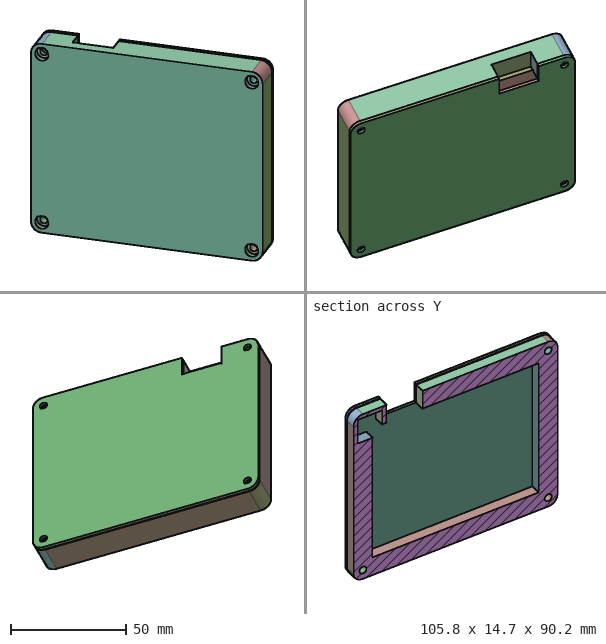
import cadquery as cq

LENGTH = 105.7
HEIGHT = 90.0
TOTAL_DEPTH = 14.7
CORNER_RADIUS = 5.0

COVER_THICKNESS = 1.5
COVER_GAP = 0.2
COVER_LIFT = 0.2
COVER_SHIFT = 0.1
HOUSING_DEPTH = TOTAL_DEPTH - COVER_THICKNESS - COVER_GAP
COVER_FRONT = TOTAL_DEPTH - COVER_THICKNESS

SCREW_DIAMETER = 3.4
HEAD_DIAMETER = 6.0
HEAD_DEPTH = 3.0
SCREW_X = LENGTH / 2 - CORNER_RADIUS
SCREW_Z = HEIGHT / 2 - CORNER_RADIUS
SCREW_POINTS = [(x, z) for x in (-SCREW_X, SCREW_X) for z in (-SCREW_Z, SCREW_Z)]

FRONT_WALL = 5.7
SIDE_WALL = 2 * CORNER_RADIUS
CAVITY_X = LENGTH / 2 - SIDE_WALL
CAVITY_Z = HEIGHT / 2 - SIDE_WALL

NOTCH_WIDTH = 18.5
NOTCH_INSET = 17.3
NOTCH_LEFT = NOTCH_INSET - LENGTH / 2
NOTCH_DEPTH = SIDE_WALL

BOARD_THICKNESS = 2.1
EAR_REACH = 2.6
STEP_OFFSET_X = 0.2
STEP_OFFSET_Z = 0.5
EAR_LEFT = -SCREW_X - EAR_REACH
EAR_TOP = SCREW_Z + EAR_REACH
EAR_OVERLAP = CORNER_RADIUS
EAR_RIGHT = EAR_OVERLAP - CAVITY_X
EAR_BOTTOM = CAVITY_Z - EAR_OVERLAP
EAR_STEP_X = -SCREW_X + STEP_OFFSET_X
EAR_STEP_Z = SCREW_Z + STEP_OFFSET_Z


def block(x_min, x_max, y_min, y_max, z_min, z_max):
    """Box between two opposite corners."""
    size = (x_max - x_min, y_max - y_min, z_max - z_min)
    return cq.Workplane("XY").box(*size, centered=False).translate((x_min, y_min, z_min))


def rounded_plate(depth):
    """Upright plate with rounded corners, from Y = 0 to Y = depth."""
    plate = block(-LENGTH / 2, LENGTH / 2, 0, depth, -HEIGHT / 2, HEIGHT / 2)
    return plate.edges("|Y").fillet(CORNER_RADIUS)


def screw_cylinders(diameter, depth):
    """Cylinders at the four screw places, from Y = 0 to Y = depth."""
    plane = cq.Workplane("XZ").pushPoints(SCREW_POINTS)
    return plane.circle(diameter / 2).extrude(-depth)


def notch(y_min, y_max):
    """Space of the notch, cut down from the top edge."""
    top = HEIGHT / 2
    return block(NOTCH_LEFT, NOTCH_LEFT + NOTCH_WIDTH, y_min, y_max, top - NOTCH_DEPTH, top)


def cavity_space(y_min, y_max):
    """Main cavity and its corner pocket around the top-left screw hole."""
    main = block(-CAVITY_X, CAVITY_X, y_min, y_max, -CAVITY_Z, CAVITY_Z)
    pocket = block(EAR_LEFT, EAR_RIGHT, y_min, y_max, EAR_BOTTOM, EAR_TOP)
    return main.union(pocket)


def make_housing():
    """Rounded front shell with the cavity, the notch and counterbored screw holes."""
    housing = rounded_plate(HOUSING_DEPTH)
    housing = housing.cut(cavity_space(FRONT_WALL, HOUSING_DEPTH))
    housing = housing.cut(notch(FRONT_WALL, HOUSING_DEPTH))
    housing = housing.cut(screw_cylinders(SCREW_DIAMETER, HOUSING_DEPTH))
    return housing.cut(screw_cylinders(HEAD_DIAMETER, HEAD_DEPTH))


def make_cover():
    """Flat back plate with the notch and plain screw holes."""
    cover = rounded_plate(COVER_THICKNESS)
    cover = cover.cut(notch(0, COVER_THICKNESS))
    cover = cover.cut(screw_cylinders(SCREW_DIAMETER, COVER_THICKNESS))
    return cover.translate((COVER_SHIFT, COVER_FRONT, COVER_LIFT))


def make_board():
    """Plate that fills the bottom of the cavity, stepped at the corner of its ear."""
    back = FRONT_WALL + BOARD_THICKNESS
    corner_step = block(EAR_LEFT, EAR_STEP_X, FRONT_WALL, back, EAR_STEP_Z, EAR_TOP)
    return cavity_space(FRONT_WALL, back).cut(corner_step)


housing = make_housing()
cover = make_cover()
board = make_board()

result = cq.Compound.makeCompound([housing.val(), cover.val(), board.val()])